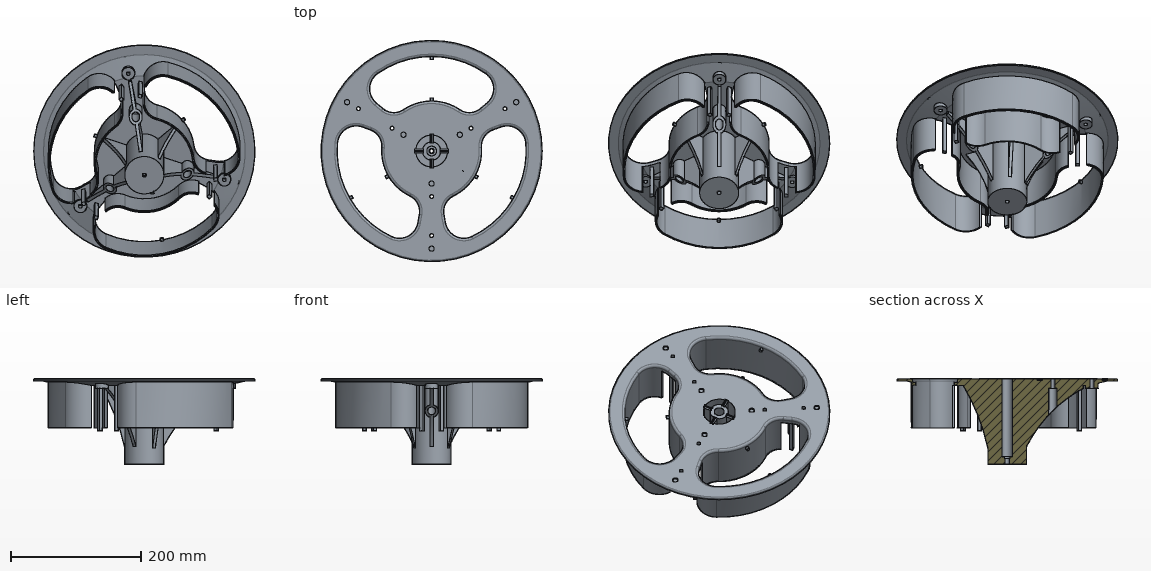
import cadquery as cq
import math


disc_radius = 170.0
rim_thickness = 4.0
rim_round = 2.0
plate_thickness = 11.0
taper_outer_radius = 155.0
taper_inner_radius = 123.0

window_outer_radius = 145.0
window_inner_radius = 77.0
window_side_offset = 18.7
window_side_slant = math.radians(10.0)
window_outer_corner = 28.5
window_inner_corner = 26.0
window_edge_round = 4.0
wall_thickness = 2.8
wall_depth = 76.0
wall_chamfer = 1.0

opening_inner_radius = 94.0
opening_outer_radius = 122.0
opening_half_width = 32.0

hub_radius = 30.0
hub_depth = 132.0
hub_floor = 12.0
hub_pocket_radius = 24.5
hub_core_radius = 14.0
hub_bore_diameter = 15.0
hub_floor_hole_diameter = 6.0
hub_floor_recess_diameter = 8.0
hub_floor_recess_depth = 3.0
hub_web_width = 5.5
hub_web_bevel = 2.0
hub_web_bevel_overrun = 1.5
hub_web_count = 4

rib_thickness = 5.0
rib_root_radius = hub_radius - 2.0
spoke_rib_root_depth = 104.0
spoke_rib_middle = (60.0, 60.0)
spoke_rib_end = (117.0, 15.0)
window_rib_root_depth = 107.0
window_rib_middle = (45.7, 55.5)
window_rib_end = (67.6, plate_thickness)

dimple_radii = (50.0, 150.0)
dimple_diameter = 8.0
dimple_depth = 2.5
boss_radius = 130.0
boss_diameter = 20.0
boss_depth = 15.0
socket_radius = 70.0
socket_diameter = 20.0
socket_bore_diameter = 12.0
socket_bore_top = 15.0
screw_hole_radii = (socket_radius, boss_radius)
screw_hole_diameter = 5.5
post_radius = 110.7
post_offset = 14.7
post_size = 5.5
post_depth = 80.5
post_angle = 27.0

peg_diameter = 5.0
peg_length = 4.5
peg_depth = 8.0

arm_angles = (0, 120, 240)
window_from_spoke = 60.0
first_spoke_angle = -90.0


def repeat_on_arms(shape):
    """Copy a shape built along +X so that it lies on each of the three spokes."""
    copies = cq.Workplane("XY")
    for angle in arm_angles:
        copies = copies.add(shape.rotate((0, 0, 0), (0, 0, 1), first_spoke_angle + angle))
    return copies.combine()


def repeat_on_windows(shape):
    """Copy a shape built along +X so that it lies on each of the three window centres."""
    return repeat_on_arms(shape.rotate((0, 0, 0), (0, 0, 1), window_from_spoke))


def polar(radius, angle):
    return (radius * math.cos(angle), radius * math.sin(angle))


def toward(start, target, distance):
    """Point reached from start by moving a distance toward target."""
    span = math.dist(start, target)
    return tuple(a + (b - a) * distance / span for a, b in zip(start, target))


def offset_point(point, direction, distance):
    return tuple(a + b * distance for a, b in zip(point, direction))


def window_outline():
    """Outline of the window between the spoke on +X and the next one, 120 degrees on."""
    middle_angle = math.radians(window_from_spoke)

    def mirrored(point):
        radius = math.hypot(*point)
        return polar(radius, 2 * middle_angle - math.atan2(point[1], point[0]))

    inner_offset = window_side_offset + window_inner_corner
    inner_reach = window_inner_radius + window_inner_corner
    inner_centre = (math.sqrt(inner_reach**2 - inner_offset**2), inner_offset)

    along = (math.cos(window_side_slant), math.sin(window_side_slant))
    across = (-along[1], along[0])
    side_inner = offset_point(inner_centre, across, -window_inner_corner)
    side_distance = side_inner[0] * across[0] + side_inner[1] * across[1]
    outer_distance = side_distance + window_outer_corner
    outer_reach = window_outer_radius - window_outer_corner
    outer_advance = math.sqrt(outer_reach**2 - outer_distance**2)
    outer_centre = offset_point(offset_point((0, 0), along, outer_advance), across, outer_distance)
    side_outer = offset_point(outer_centre, across, -window_outer_corner)
    rim_end = polar(window_outer_radius, math.atan2(outer_centre[1], outer_centre[0]))
    hub_end = polar(window_inner_radius, math.atan2(inner_centre[1], inner_centre[0]))
    outer_chord = ((side_outer[0] + rim_end[0]) / 2, (side_outer[1] + rim_end[1]) / 2)
    inner_chord = ((side_inner[0] + hub_end[0]) / 2, (side_inner[1] + hub_end[1]) / 2)
    outer_bulge = toward(outer_centre, outer_chord, window_outer_corner)
    inner_bulge = toward(inner_centre, inner_chord, window_inner_corner)

    return (
        cq.Workplane("XY")
        .moveTo(*side_inner)
        .lineTo(*side_outer)
        .threePointArc(outer_bulge, rim_end)
        .threePointArc(polar(window_outer_radius, middle_angle), mirrored(rim_end))
        .threePointArc(mirrored(outer_bulge), mirrored(side_outer))
        .lineTo(*mirrored(side_inner))
        .threePointArc(mirrored(inner_bulge), mirrored(hub_end))
        .threePointArc(polar(window_inner_radius, middle_angle), hub_end)
        .threePointArc(inner_bulge, side_inner)
        .close()
    )


def make_disc():
    return (
        cq.Workplane("XZ")
        .moveTo(0, 0)
        .lineTo(disc_radius, 0)
        .lineTo(disc_radius, -rim_thickness)
        .lineTo(taper_outer_radius, -rim_thickness)
        .lineTo(taper_inner_radius, -plate_thickness)
        .lineTo(0, -plate_thickness)
        .close()
        .revolve(360, (0, 0, 0), (0, 1, 0))
        .faces(">Z")
        .edges()
        .fillet(rim_round)
    )


def make_windowed_disc():
    walls = window_outline().offset2D(wall_thickness).extrude(-wall_depth)
    walls = walls.faces("<Z").edges().chamfer(wall_chamfer)
    holes = window_outline().extrude(-wall_depth)
    body = make_disc().union(repeat_on_arms(walls)).cut(repeat_on_arms(holes))
    disc_edge = cq.selectors.RadiusNthSelector(-1)
    window_edges = body.faces(">Z").edges(cq.selectors.InverseSelector(disc_edge))
    body = window_edges.fillet(window_edge_round)

    opening_length = opening_outer_radius - opening_inner_radius
    opening = cq.Workplane("XY").box(
        opening_length, 2 * opening_half_width, wall_depth, centered=(False, True, False)
    )
    opening = opening.translate((opening_inner_radius, 0, -plate_thickness - wall_depth))
    return body.cut(repeat_on_arms(opening))


def make_rib(root_depth, middle, end, thickness):
    """Web along +X from the hub to the plate, with a concave lower edge."""
    return (
        cq.Workplane("XZ")
        .moveTo(rib_root_radius, 0)
        .lineTo(rib_root_radius, -root_depth)
        .lineTo(hub_radius, -root_depth)
        .threePointArc((middle[0], -middle[1]), (end[0], -end[1]))
        .lineTo(end[0], 0)
        .close()
        .extrude(thickness / 2, both=True)
    )


def make_spoke_rib(thickness):
    return make_rib(spoke_rib_root_depth, spoke_rib_middle, spoke_rib_end, thickness)


def make_window_rib(thickness):
    return make_rib(window_rib_root_depth, window_rib_middle, window_rib_end, thickness)


def make_hub():
    return cq.Workplane("XY").circle(hub_radius).extrude(-hub_depth)


def make_web_bevels():
    """Wedges that bevel both top edges of the web along +X, running on a little past its ends."""
    start = hub_core_radius - hub_web_bevel_overrun
    end = hub_pocket_radius + hub_web_bevel_overrun
    half_width = hub_web_width / 2
    wedge = (
        cq.Workplane("YZ", origin=(start, 0, 0))
        .moveTo(half_width - hub_web_bevel, 0)
        .lineTo(half_width, 0)
        .lineTo(half_width, -hub_web_bevel)
        .close()
        .extrude(end - start)
    )
    return wedge.union(wedge.mirror("XZ"))


def make_hub_pocket():
    """Quarter pockets around the core, divided by webs with bevelled tops, and the stepped bore."""
    depth = hub_depth - hub_floor
    pocket = cq.Workplane("XY").circle(hub_pocket_radius).circle(hub_core_radius).extrude(-depth)
    web = (
        cq.Workplane("XY")
        .box(hub_radius, hub_web_width, depth, centered=(False, True, False))
        .translate((0, 0, -depth))
    )
    bevels = make_web_bevels()
    for index in range(hub_web_count):
        angle = index * 360 / hub_web_count
        pocket = pocket.cut(web.rotate((0, 0, 0), (0, 0, 1), angle))
        pocket = pocket.union(bevels.rotate((0, 0, 0), (0, 0, 1), angle))
    bore = make_pillar(0, hub_bore_diameter, 0, depth)
    recess = make_pillar(0, hub_floor_recess_diameter, 0, depth + hub_floor_recess_depth)
    floor_hole = make_pillar(0, hub_floor_hole_diameter, 0, hub_depth)
    return pocket.union(bore).union(recess).union(floor_hole)


def make_pillar(radius, diameter, top, bottom):
    """Vertical cylinder on the X axis, between two depths."""
    return (
        cq.Workplane("XY", origin=(radius, 0, -top)).circle(diameter / 2).extrude(top - bottom)
    )


def make_socket():
    """Vertical pillar on the spoke rib, trimmed below by the curve of the rib's lower edge."""
    pillar = make_pillar(socket_radius, socket_diameter, 0, hub_depth)
    return pillar.intersect(make_spoke_rib(2 * socket_diameter))


def make_post(side):
    """Square post beside the spoke, turned about its own axis."""
    post = cq.Workplane("XY").rect(post_size, post_size).extrude(-post_depth)
    turned = post.rotate((0, 0, 0), (0, 0, 1), side * post_angle)
    return turned.translate((post_radius, side * post_offset, 0)).intersect(below_top())


def below_top():
    """Space below the middle of the plate, which keeps posts out of the top face."""
    size = 2 * disc_radius
    return cq.Workplane("XY").workplane(offset=-plate_thickness / 2).rect(size, size).extrude(-hub_depth)


def make_radial_cylinder(diameter, start, end, depth):
    return (
        cq.Workplane("YZ", origin=(start, 0, -depth)).circle(diameter / 2).extrude(end - start)
    )


def make_pegs():
    """Two pegs facing each other across the middle of a window."""
    inner_start = window_inner_radius - wall_thickness / 2
    outer_end = window_outer_radius + wall_thickness / 2
    inner_peg = make_radial_cylinder(peg_diameter, inner_start, window_inner_radius + peg_length, peg_depth)
    outer_peg = make_radial_cylinder(peg_diameter, window_outer_radius - peg_length, outer_end, peg_depth)
    return inner_peg.union(outer_peg)


def spoke_holes(radii, diameter, depth):
    points = [(radius, 0) for radius in radii]
    return repeat_on_arms(cq.Workplane("XY").pushPoints(points).circle(diameter / 2).extrude(-depth))


result = (
    make_windowed_disc()
    .union(repeat_on_arms(make_spoke_rib(rib_thickness)))
    .union(repeat_on_windows(make_window_rib(rib_thickness)))
    .union(repeat_on_arms(make_pillar(boss_radius, boss_diameter, 0, boss_depth)))
    .union(repeat_on_arms(make_post(1)))
    .union(repeat_on_arms(make_post(-1)))
    .union(repeat_on_arms(make_socket()))
    .cut(repeat_on_arms(make_pillar(socket_radius, socket_bore_diameter, socket_bore_top, hub_depth)))
    .union(make_hub())
    .cut(make_hub_pocket())
    .union(repeat_on_windows(make_pegs()))
    .cut(spoke_holes(dimple_radii, dimple_diameter, dimple_depth))
    .cut(spoke_holes(screw_hole_radii, screw_hole_diameter, hub_depth))
)